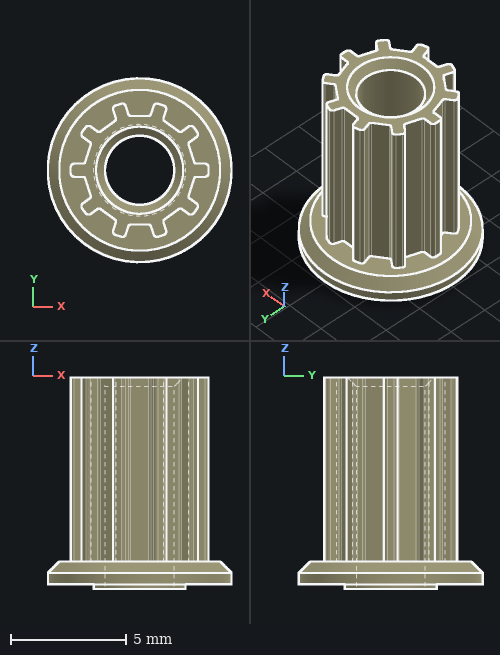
import cadquery as cq
import math

total_height = 9.2
flange_diameter = 8.0
flange_thickness = 1.0
flange_chamfer = flange_thickness / 2
spigot_diameter = flange_diameter / 2
spigot_height = 0.2

tooth_count = 10
tip_diameter = 6.0
core_across_flats = 4.73
tooth_width = 0.57
tip_fillet = 0.15
root_fillet = 0.1

bore_diameter = 3.0
countersink_depth = 0.4

flange_top = spigot_height + flange_thickness
body_height = total_height - flange_top


def make_base():
    """Locating spigot and chamfered flange, starting at Z = 0."""
    spigot = cq.Workplane("XY").circle(spigot_diameter / 2).extrude(spigot_height)
    flange = (
        cq.Workplane("XY")
        .workplane(offset=spigot_height)
        .circle(flange_diameter / 2)
        .extrude(flange_thickness)
        .faces(">Z")
        .edges()
        .chamfer(flange_chamfer)
    )
    return spigot.union(flange)


def make_splined_body():
    """Core and teeth, with rounded tooth tips and roots."""
    plane = cq.Workplane("XY").workplane(offset=flange_top)
    core_across_corners = core_across_flats / math.cos(math.pi / tooth_count)
    body = plane.polygon(tooth_count, core_across_corners).extrude(body_height)

    for index in range(tooth_count // 2):
        bar = plane.rect(2 * tip_diameter, tooth_width).extrude(body_height)
        angle = index * 360 / tooth_count
        body = body.union(bar.rotate((0, 0, 0), (0, 0, 1), angle))
    body = body.intersect(plane.circle(tip_diameter / 2).extrude(body_height))

    split_radius = (tip_diameter + core_across_flats) / 4
    splitter = cq.Workplane("XY").circle(split_radius).extrude(total_height).val()
    tip_edges = [edge for edge in body.edges("|Z").vals() if not splitter.isInside(edge.Center())]
    body = body.newObject(tip_edges).fillet(tip_fillet)

    root_edges = [edge for edge in body.edges("|Z").vals() if splitter.isInside(edge.Center())]
    return body.newObject(root_edges).fillet(root_fillet)


def make_bore():
    """Cutting tool for the through bore and its countersink."""
    bore = cq.Workplane("XY").circle(bore_diameter / 2).extrude(total_height)
    mouth_radius = bore_diameter / 2 + countersink_depth
    countersink = cq.Workplane("XY").add(
        cq.Solid.makeCone(
            bore_diameter / 2,
            mouth_radius,
            countersink_depth,
            pnt=cq.Vector(0, 0, total_height - countersink_depth),
        )
    )
    return bore.union(countersink)


result = make_base().union(make_splined_body()).cut(make_bore())